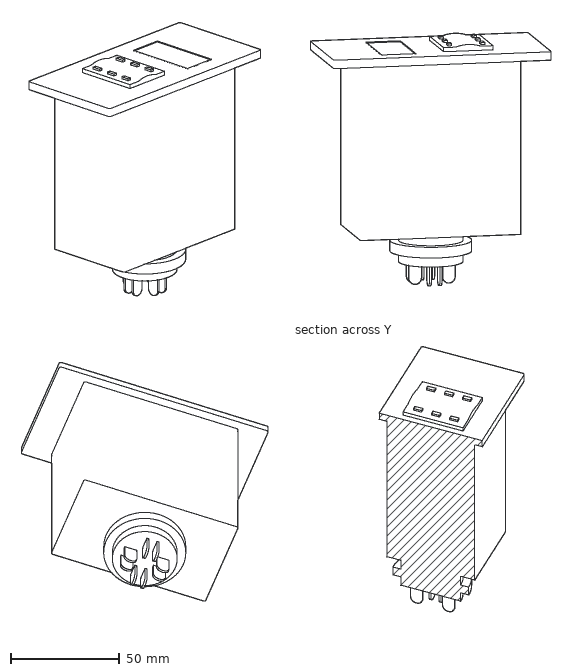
import cadquery as cq

plate_width = 51.5
plate_length = 103.0
plate_thickness = 4.0
plate_corner_radius = 1.0

body_width = 44.0
body_length = 76.0
body_height = 82.0
body_corner_radius = 0.9

neck_diameter = 30.0
flange_diameter = 38.0
disc_height = 5.0
disc_diameters = (neck_diameter, flange_diameter, neck_diameter)

blade_width = 5.9
blade_thickness = 1.0
blade_length = 10.0
blade_along = 8.0
blade_across = 2.5

window_width = 34.1
window_length = 16.2
window_depth = 0.5
window_y = 18.8

switch_width = 30.0
switch_length = 23.4
switch_y = -14.5
slab_height = 1.9
dome_length = 12.0
dome_rise = 1.0
key_width = 4.0
key_length = 1.7
key_height = 0.9
key_pitch = 9.0
keys_per_row = 3
key_rows = 2
key_row_spacing = 15.6

body_top = -plate_thickness
plug_top = body_top - body_height
blade_top = plug_top - len(disc_diameters) * disc_height


def upright_box(width, length, height, bottom):
    """Box centred on the Z axis, standing on the level 'bottom'."""
    return cq.Workplane("XY", origin=(0, 0, bottom)).rect(width, length).extrude(height)


def make_housing():
    plate = upright_box(plate_width, plate_length, plate_thickness, body_top)
    body = upright_box(body_width, body_length, body_height, plug_top)
    plate = plate.edges("|Z").fillet(plate_corner_radius)
    body = body.edges("|Z").fillet(body_corner_radius)
    housing = plate.union(body)
    window = upright_box(window_width, window_length, window_depth, -window_depth)
    return housing.cut(window.translate((0, window_y, 0)))


def add_plug(part):
    top = plug_top
    for diameter in disc_diameters:
        disc = cq.Workplane("XY", origin=(0, 0, top)).circle(diameter / 2).extrude(-disc_height)
        part = part.union(disc)
        top -= disc_height
    return part


def make_blade():
    """One blade on the plug axis, wide along X and hanging below the plug."""
    half_width = blade_width / 2
    tip = blade_top - blade_length
    return (
        cq.Workplane("XZ")
        .moveTo(-half_width, blade_top)
        .lineTo(-half_width, tip + half_width)
        .threePointArc((0, tip), (half_width, tip + half_width))
        .lineTo(half_width, blade_top)
        .close()
        .extrude(blade_thickness / 2, both=True)
    )


def make_switch():
    half_dome = dome_length / 2
    half_length = switch_length / 2
    profile = (
        cq.Workplane("YZ")
        .moveTo(-half_length, 0)
        .lineTo(-half_length, slab_height)
        .lineTo(-half_dome, slab_height)
        .threePointArc((0, slab_height + dome_rise), (half_dome, slab_height))
        .lineTo(half_length, slab_height)
        .lineTo(half_length, 0)
        .close()
    )
    block = profile.extrude(switch_width / 2, both=True)
    keys = (
        cq.Workplane("XY", origin=(0, 0, slab_height))
        .rarray(key_pitch, key_row_spacing, keys_per_row, key_rows)
        .rect(key_width, key_length)
        .extrude(key_height)
    )
    return block.union(keys).translate((0, switch_y, 0))


def add_blades(part):
    """Two parallel blades on each of the four sides of the plug."""
    for quarter_turn in (0, 90, 180, 270):
        for side in (-1, 1):
            blade = make_blade().translate((blade_along, side * blade_across, 0))
            part = part.union(blade.rotate((0, 0, 0), (0, 0, 1), quarter_turn))
    return part


result = make_housing().union(make_switch())
result = add_plug(result)
result = add_blades(result)